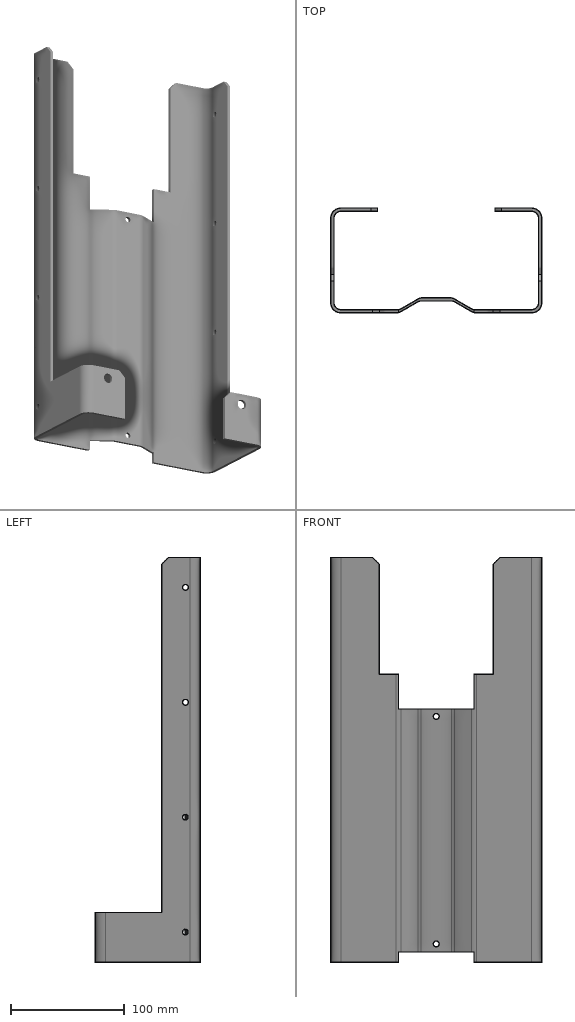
import cadquery as cq
import math

WIDTH = 185.61
DEPTH = 92.3
HEIGHT = 356.0

THICKNESS = 3.0
INNER_RADIUS = 6.0
OUTER_RADIUS = INNER_RADIUS + THICKNESS
CORNER_CHAMFER = 6.0

PANEL_OFFSET = 10.5
PANEL_SLOPE = 30.0
SLOPE_FOOT_X = 33.0
SLOPE_TOP_X = SLOPE_FOOT_X - PANEL_OFFSET / math.tan(math.radians(PANEL_SLOPE))
PANEL_BOTTOM = 9.0
PANEL_TOP = 223.0

SHOULDER_X = 50.0
SHOULDER_Z = 253.5
SIDE_DEPTH = 34.0
BACK_FLANGE_X = 51.5
BACK_FLANGE_TOP = 44.0

SMALL_HOLE = 4.9
PANEL_HOLE_Z = 16.3
PANEL_HOLE_SPACING = 200.0
SIDE_HOLE_Y = 13.0
SIDE_HOLE_Z = 26.7
SIDE_HOLE_PITCH = 101.0
SIDE_HOLE_COUNT = 4
BACK_HOLE = 8.5
BACK_HOLE_X = 69.0
BACK_HOLE_Z = 34.5

HALF_WIDTH = WIDTH / 2


def block(x_range, y_range, z_range):
    """Box between the given pairs of limits."""
    size = [limits[1] - limits[0] for limits in (x_range, y_range, z_range)]
    corner = (x_range[0], y_range[0], z_range[0])
    return cq.Workplane("XY").box(*size, centered=False).translate(corner)


def folded_sheet():
    """Right half of the folded section, at full height, with its bends rounded."""
    shift = THICKNESS * math.tan(math.radians(PANEL_SLOPE / 2))
    panel_bend = (
        (SLOPE_TOP_X - shift, PANEL_OFFSET + THICKNESS),
        (SLOPE_TOP_X, PANEL_OFFSET),
    )
    foot_bend = ((SLOPE_FOOT_X, 0), (SLOPE_FOOT_X - shift, THICKNESS))
    front_bend = ((HALF_WIDTH, 0), (HALF_WIDTH - THICKNESS, THICKNESS))
    back_bend = ((HALF_WIDTH, DEPTH), (HALF_WIDTH - THICKNESS, DEPTH - THICKNESS))
    outline = [
        (0, PANEL_OFFSET),
        panel_bend[1],
        foot_bend[0],
        front_bend[0],
        back_bend[0],
        (BACK_FLANGE_X, DEPTH),
        (BACK_FLANGE_X, DEPTH - THICKNESS),
        back_bend[1],
        front_bend[1],
        foot_bend[1],
        panel_bend[0],
        (0, PANEL_OFFSET + THICKNESS),
    ]
    sheet = cq.Workplane("XY").polyline(outline).close().extrude(HEIGHT)
    for outside, inside in (panel_bend, foot_bend, front_bend, back_bend):
        for (x, y), radius in ((outside, OUTER_RADIUS), (inside, INNER_RADIUS)):
            corner = cq.selectors.NearestToPointSelector((x, y, HEIGHT / 2))
            sheet = sheet.edges("|Z").edges(corner).fillet(radius)
    return sheet


def trim_front(sheet):
    """Cut the front wall to the panel height, the shoulder and the narrow upright."""
    y_range = (-THICKNESS, SIDE_DEPTH)
    sheet = sheet.cut(block((0, SLOPE_FOOT_X), y_range, (0, PANEL_BOTTOM)))
    sheet = sheet.cut(block((0, SLOPE_FOOT_X), y_range, (PANEL_TOP, HEIGHT)))
    return sheet.cut(block((0, SHOULDER_X), y_range, (SHOULDER_Z, HEIGHT)))


def trim_back(sheet):
    """Remove the rear of the side wall above the low back flange."""
    return sheet.cut(block((0, WIDTH), (SIDE_DEPTH, DEPTH), (BACK_FLANGE_TOP, HEIGHT)))


def chamfer_free_corners(sheet):
    """Bevel the top free corner of the front upright, the side wall and the back flange."""
    corners = (
        (SHOULDER_X, THICKNESS / 2, HEIGHT),
        (HALF_WIDTH - THICKNESS / 2, SIDE_DEPTH, HEIGHT),
        (BACK_FLANGE_X, DEPTH - THICKNESS / 2, BACK_FLANGE_TOP),
    )
    for corner in corners:
        sheet = sheet.edges(cq.selectors.NearestToPointSelector(corner)).chamfer(CORNER_CHAMFER)
    return sheet


def drill_side(sheet):
    """Column of small holes through the side wall."""
    for index in range(SIDE_HOLE_COUNT):
        z = SIDE_HOLE_Z + index * SIDE_HOLE_PITCH
        drill = (
            cq.Workplane("YZ", origin=(HALF_WIDTH, SIDE_HOLE_Y, z))
            .circle(SMALL_HOLE / 2)
            .extrude(2 * THICKNESS, both=True)
        )
        sheet = sheet.cut(drill)
    return sheet


def drill_back(sheet):
    """Large hole through the back flange."""
    drill = (
        cq.Workplane("XZ", origin=(BACK_HOLE_X, DEPTH, BACK_HOLE_Z))
        .circle(BACK_HOLE / 2)
        .extrude(2 * THICKNESS, both=True)
    )
    return sheet.cut(drill)


def drill_panel(body):
    """Two small holes on the centre line of the raised panel."""
    for z in (PANEL_HOLE_Z, PANEL_HOLE_Z + PANEL_HOLE_SPACING):
        drill = cq.Workplane("XZ").center(0, z).circle(SMALL_HOLE / 2).extrude(-SIDE_DEPTH)
        body = body.cut(drill)
    return body


half = trim_back(trim_front(folded_sheet()))
half = drill_back(drill_side(chamfer_free_corners(half)))
result = drill_panel(half.union(half.mirror("YZ")).clean())